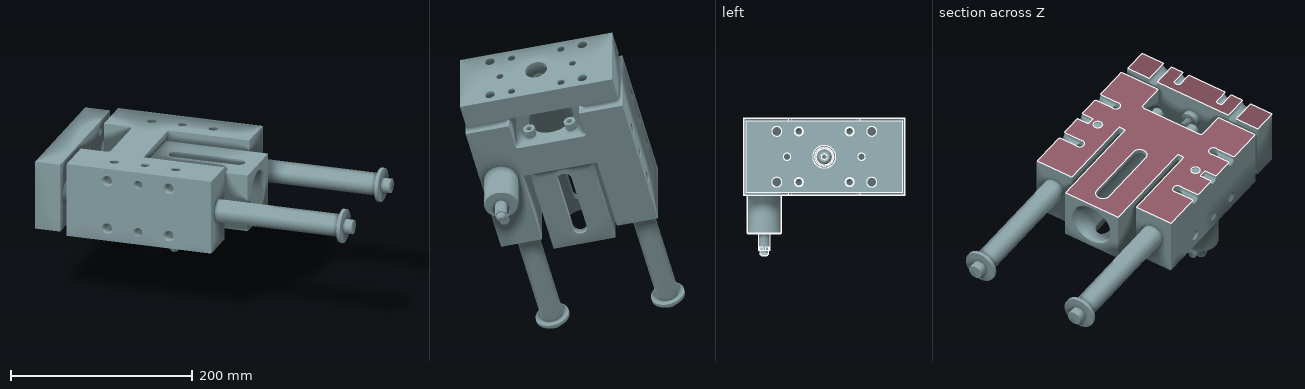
import cadquery as cq
import math


FRAME_START = 37.5
FRAME_END = 206.0
FRAME_WIDTH = 178.0
FRAME_TOP = 42.5
FRAME_BOTTOM = -FRAME_TOP
FRONT_POCKET_WIDTH = 79.5
FRONT_POCKET_FILLET = 3.3
WALL_START = 71.0
WALL_END = 111.5
REAR_POCKET_WIDTH = 85.0

MOUNT_END = 230.5
MOUNT_WIDTH = 70.3
MOUNT_HEIGHT = 66.0
MOUNT_BORE_DIA = 50.5
SLOT_LENGTH = 88.8
SLOT_WIDTH = 16.0
SLOT_CENTRE_X = 171.5

SCREW_HEAD_DIA = 13.0
SCREW_HEAD_LENGTH = 9.0
SCREW_SOCKET_FLATS = 6.0
SCREW_SOCKET_DEPTH = 5.5
SCREW_Y = 23.0
SCREW_Z = 23.0

FRAME_HOLE_X = 121.0
FRAME_HOLE_PITCH = 71.7
FRAME_TAP_DIA = 10.2
FRAME_TAP_CHAMFER = 1.0
FRAME_TAP_DEPTH = 23.5
FRAME_DOWEL_DIA = 10.0
FRAME_DOWEL_DEPTH = 14.5
TOP_HOLE_Y = 64.8
HOLE_ROW_Z = 28.0
DRILL_POINT_ANGLE = 118

CLAMP_X = 111.0
CLAMP_Y = 66.2
CLAMP_DIA = 38.0
CLAMP_BOTTOM = -85.5
CLAMP_CHAMFER = 1.0
STEM_DIA = 13.0
STEM_BOTTOM = -99.5
NUT_FLATS = 12.5
NUT_BOTTOM = -103.5
TIP_DIA = 10.0
TIP_BOTTOM = -109.5
TIP_CHAMFER = 2.2

PORT_Z = -92.5
PORT_NECK_DIA = 8.5
PORT_NECK_END = 121.2
PORT_DIA = 10.2
PORT_END = 131.0
PORT_CHAMFER = 1.5

PLATE_THICKNESS = 29.0
PLATE_WIDTH = 173.0
PLATE_HEIGHT = 79.5
PLATE_TAP_Y = 28.0
PLATE_TAP_DIA = 8.5
PLATE_TAP_CHAMFER = 0.7
PLATE_TAP_DEPTH = 18.2
PLATE_BOLT_Y = 52.5
PLATE_BOLT_DIA = 11.0
PLATE_DOWEL_Y = 41.0
PLATE_DOWEL_DIA = 8.0
PLATE_DOWEL_DEPTH = 18.2

RECESS_DIA = 25.0
RECESS_DEPTH = 18.5
WASHER_DIA = 21.0
WASHER_THICKNESS = 2.0
NOSE_DIA = 18.0
NOSE_TIP_DIA = 9.5
NOSE_LENGTH = 5.5
NOSE_SOCKET_FLATS = 6.0
NOSE_SOCKET_DEPTH = 3.3
FLANGE_DIA = 21.0
FLANGE_END = 35.5
STUD_DIA = 10.2
STUD_END = 47.0

ROD_DIA = 25.0
ROD_Y = 65.5
STOP_DIA = 38.0
STOP_START = 350.0
STOP_END = 354.0
ROD_END_DIA = 16.0
ROD_END = 364.0


def box(x_start, x_end, width, z_bottom, z_top):
    """Box centred on Y = 0."""
    size = (x_end - x_start, width, z_top - z_bottom)
    return cq.Workplane("XY").box(*size, centered=(False, True, False)).translate((x_start, 0, z_bottom))


def x_rod(diameter, x_start, x_end, y=0.0, z=0.0):
    """Cylinder along X."""
    return cq.Workplane("YZ", origin=(x_start, y, z)).circle(diameter / 2).extrude(x_end - x_start)


def z_rod(diameter, x, y, z_top, z_bottom):
    """Cylinder along Z."""
    return cq.Workplane("XY", origin=(x, y, z_bottom)).circle(diameter / 2).extrude(z_top - z_bottom)


def hex_diameter(flats):
    """Diameter across the corners of a hexagon."""
    return flats / math.cos(math.pi / 6)


def tapped_hole(mouth, direction, diameter, depth, chamfer):
    """Cutter for a blind drilled hole with a chamfered mouth and a drill point."""
    radius = diameter / 2
    point = radius / math.tan(math.radians(DRILL_POINT_ANGLE / 2))
    profile = [
        (0, 0),
        (radius + chamfer, 0),
        (radius, chamfer),
        (radius, depth),
        (0, depth + point),
    ]
    cutter = cq.Workplane("XY").polyline(profile).close().revolve(360, (0, 0, 0), (0, 1, 0)).val()
    drill, target = cq.Vector(0, 1, 0), cq.Vector(*direction)
    axis = drill.cross(target)
    if axis.Length > 0:
        cutter = cutter.rotate(cq.Vector(0, 0, 0), axis, math.degrees(drill.getAngle(target)))
    elif drill.dot(target) < 0:
        cutter = cutter.mirror("XZ")
    return cutter.translate(cq.Vector(*mouth))


def dowel_hole(mouth, direction, diameter, depth):
    """Cutter for a flat-bottomed hole."""
    return cq.Solid.makeCylinder(diameter / 2, depth, cq.Vector(*mouth), cq.Vector(*direction))


def cut_frame_hole_row(body, y, z, direction):
    """Row along X of two tapped holes with a dowel hole between them."""
    for offset in (-FRAME_HOLE_PITCH / 2, FRAME_HOLE_PITCH / 2):
        mouth = (FRAME_HOLE_X + offset, y, z)
        body = body.cut(cq.Workplane(
            tapped_hole(mouth, direction, FRAME_TAP_DIA, FRAME_TAP_DEPTH, FRAME_TAP_CHAMFER)))
    mouth = (FRAME_HOLE_X, y, z)
    return body.cut(cq.Workplane(dowel_hole(mouth, direction, FRAME_DOWEL_DIA, FRAME_DOWEL_DEPTH)))


def make_frame():
    """H-shaped frame, with a wall between its front and rear pockets."""
    frame = box(FRAME_START, FRAME_END, FRAME_WIDTH, FRAME_BOTTOM, FRAME_TOP)
    front = box(FRAME_START, WALL_START, FRONT_POCKET_WIDTH, FRAME_BOTTOM, FRAME_TOP)
    front = front.edges("|Z and >X").fillet(FRONT_POCKET_FILLET)
    rear = box(WALL_END, FRAME_END, REAR_POCKET_WIDTH, FRAME_BOTTOM, FRAME_TOP)
    return frame.cut(front).cut(rear)


def add_mount(body):
    """Slotted block behind the wall, with a bore through the block and the wall."""
    mount = box(WALL_END, MOUNT_END, MOUNT_WIDTH, -MOUNT_HEIGHT / 2, MOUNT_HEIGHT / 2)
    slot = (
        cq.Workplane("XY", origin=(SLOT_CENTRE_X, 0, -MOUNT_HEIGHT / 2))
        .slot2D(SLOT_LENGTH, SLOT_WIDTH)
        .extrude(MOUNT_HEIGHT)
    )
    bore = x_rod(MOUNT_BORE_DIA, WALL_START, MOUNT_END)
    return body.union(mount.cut(slot)).cut(bore)


def add_mount_screws(body):
    """Four socket screw heads on the front of the wall."""
    head_start = WALL_START - SCREW_HEAD_LENGTH
    for y in (-SCREW_Y, SCREW_Y):
        for z in (-SCREW_Z, SCREW_Z):
            socket = (
                cq.Workplane("YZ", origin=(head_start, y, z))
                .polygon(6, hex_diameter(SCREW_SOCKET_FLATS))
                .extrude(SCREW_SOCKET_DEPTH)
            )
            head = x_rod(SCREW_HEAD_DIA, head_start, WALL_START, y, z)
            body = body.union(head.cut(socket))
    return body


def cut_frame_holes(body):
    """Hole rows in the top and in both long sides of the frame."""
    for side in (-1, 1):
        body = cut_frame_hole_row(body, side * TOP_HOLE_Y, FRAME_TOP, (0, 0, -1))
        for z in (-HOLE_ROW_Z, HOLE_ROW_Z):
            body = cut_frame_hole_row(body, side * FRAME_WIDTH / 2, z, (0, -side, 0))
    return body


def make_clamp_unit():
    """Clamp cylinder with its stem, hexagon nut, tip and side port."""
    cylinder = z_rod(CLAMP_DIA, CLAMP_X, CLAMP_Y, FRAME_BOTTOM, CLAMP_BOTTOM)
    cylinder = cylinder.faces("<Z").chamfer(CLAMP_CHAMFER)
    stem = z_rod(STEM_DIA, CLAMP_X, CLAMP_Y, CLAMP_BOTTOM, STEM_BOTTOM)
    hexagon = (
        cq.Workplane("XY", origin=(CLAMP_X, CLAMP_Y, NUT_BOTTOM))
        .polygon(6, hex_diameter(NUT_FLATS))
        .extrude(STEM_BOTTOM - NUT_BOTTOM)
    )
    nut = hexagon.intersect(z_rod(STEM_DIA, CLAMP_X, CLAMP_Y, STEM_BOTTOM, NUT_BOTTOM))
    tip = z_rod(TIP_DIA, CLAMP_X, CLAMP_Y, NUT_BOTTOM, TIP_BOTTOM)
    tip = tip.faces("<Z").chamfer(TIP_CHAMFER)
    neck = x_rod(PORT_NECK_DIA, CLAMP_X, PORT_NECK_END, CLAMP_Y, PORT_Z)
    port = x_rod(PORT_DIA, PORT_NECK_END, PORT_END, CLAMP_Y, PORT_Z)
    port = port.faces(">X").chamfer(PORT_CHAMFER)
    return cylinder.union(stem).union(nut).union(tip).union(neck).union(port)


def make_housing():
    """Frame, cylinder mount, screws and clamp unit, bored for the two guide rods."""
    body = add_mount(make_frame())
    body = add_mount_screws(body)
    body = cut_frame_holes(body).union(make_clamp_unit())
    for y in (-ROD_Y, ROD_Y):
        body = body.cut(x_rod(ROD_DIA, FRAME_START, FRAME_END, y))
    return body


def cut_plate_holes(plate):
    """Four tapped holes, four bolt holes and two dowel holes in the plate face."""
    for y_sign in (-1, 1):
        for z in (-HOLE_ROW_Z, HOLE_ROW_Z):
            mouth = (0, y_sign * PLATE_TAP_Y, z)
            plate = plate.cut(cq.Workplane(
                tapped_hole(mouth, (1, 0, 0), PLATE_TAP_DIA, PLATE_TAP_DEPTH, PLATE_TAP_CHAMFER)))
            plate = plate.cut(x_rod(PLATE_BOLT_DIA, 0, PLATE_THICKNESS, y_sign * PLATE_BOLT_Y, z))
        plate = plate.cut(x_rod(PLATE_DOWEL_DIA, 0, PLATE_DOWEL_DEPTH, y_sign * PLATE_DOWEL_Y))
    return plate


def add_coupling(plate):
    """Central recess with a washer and a domed nose; flange and stud on the far side."""
    washer_start = RECESS_DEPTH - WASHER_THICKNESS
    nose_start = washer_start - NOSE_LENGTH
    tip_radius = NOSE_TIP_DIA / 2
    base_radius = NOSE_DIA / 2
    step = base_radius - tip_radius
    dome_radius = (step ** 2 + NOSE_LENGTH ** 2) / (2 * NOSE_LENGTH)
    half_angle = math.asin(step / dome_radius) / 2
    dome_middle = (
        nose_start + dome_radius * (1 - math.cos(half_angle)),
        tip_radius + dome_radius * math.sin(half_angle),
    )
    nose = (
        cq.Workplane("XY")
        .moveTo(nose_start, 0)
        .lineTo(nose_start, tip_radius)
        .threePointArc(dome_middle, (washer_start, base_radius))
        .lineTo(washer_start, 0)
        .close()
        .revolve(360, (0, 0, 0), (1, 0, 0))
    )
    socket = (
        cq.Workplane("YZ", origin=(nose_start, 0, 0))
        .polygon(6, hex_diameter(NOSE_SOCKET_FLATS))
        .extrude(NOSE_SOCKET_DEPTH)
        .rotate((0, 0, 0), (1, 0, 0), 30)
    )
    return (
        plate.cut(x_rod(RECESS_DIA, 0, RECESS_DEPTH))
        .union(x_rod(WASHER_DIA, washer_start, RECESS_DEPTH))
        .union(nose.cut(socket))
        .union(x_rod(FLANGE_DIA, PLATE_THICKNESS, FLANGE_END))
        .union(x_rod(STUD_DIA, FLANGE_END, STUD_END))
    )


def make_guide_rod(y):
    """Guide rod from the plate to its stop disc and stepped end."""
    return (
        x_rod(ROD_DIA, PLATE_THICKNESS, STOP_START, y)
        .union(x_rod(STOP_DIA, STOP_START, STOP_END, y))
        .union(x_rod(ROD_END_DIA, STOP_END, ROD_END, y))
    )


def make_carriage():
    """Plate with its coupling and two guide rods."""
    body = box(0, PLATE_THICKNESS, PLATE_WIDTH, -PLATE_HEIGHT / 2, PLATE_HEIGHT / 2)
    body = add_coupling(cut_plate_holes(body))
    for y in (-ROD_Y, ROD_Y):
        body = body.union(make_guide_rod(y))
    return body


housing = make_housing()
carriage = make_carriage()
result = cq.Compound.makeCompound([housing.val(), carriage.val()])